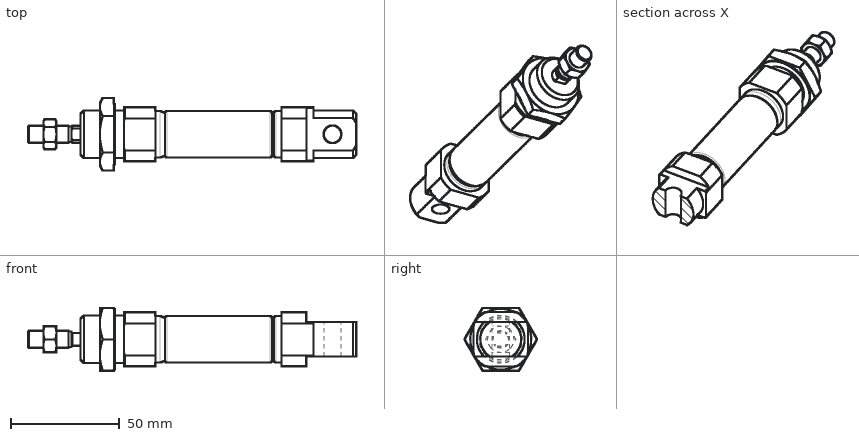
import cadquery as cq
import math


rod_nut_start = 7.0
undercut_start = 18.5
undercut_end = 20.0
collar_start = 24.0
ring_nut_start = 33.0
front_block_start = 44.0
front_block_end = 58.5
front_groove_start = 60.6
front_groove_bottom = 62.9
rear_groove_start = 111.2
rear_block_start = 116.5
rear_block_full_end = 128.0
rear_block_end = 131.3
eye_hole_x = 140.0
overall_length = 151.0

rod_diameter = 8.0
undercut_diameter = 7.2
rod_tip_chamfer = 0.5
neck_chamfer = (rod_diameter - undercut_diameter) / 2
rod_flats_width = 6.0
rod_nut_width = 12.0
rod_nut_thickness = 6.0

collar_diameter = 22.0
collar_chamfer = 1.6
ring_nut_width = 29.0
ring_nut_washer_diameter = 28.0
ring_nut_hex_thickness = 6.5
ring_nut_washer_thickness = 0.5
nut_chamfer_angle = 30.0
hexagon_half_angle = 30.0

block_width = 25.0
block_corner_diameter = 29.0
block_face_diameter = 28.0
barrel_diameter = 21.5
groove_diameter = 20.0
groove_shoulder_radius = 1.0
groove_floor = 0.9

eye_diameter = 22.0
eye_thickness = 16.0
eye_chamfer = 1.6
eye_hole_diameter = 8.0


def cylinder(start, end, diameter):
    """Solid cylinder on the X axis between two stations."""
    return cq.Workplane("YZ", origin=(start, 0, 0)).circle(diameter / 2).extrude(end - start)


def slab(start, end, width_y, width_z):
    """Box centred on the X axis between two stations."""
    return cq.Workplane("YZ", origin=(start, 0, 0)).rect(width_y, width_z).extrude(end - start)


def hexagon(start, thickness, width):
    """Hexagonal prism on the X axis, with flats on top and bottom and corners along Y."""
    corner_diameter = width / math.cos(math.radians(hexagon_half_angle))
    return cq.Workplane("YZ", origin=(start, 0, 0)).polygon(6, corner_diameter).extrude(thickness)


def corner_cone(start, thickness, width, both_ends):
    """Turned envelope that bevels the corners of a hexagonal nut."""
    face_radius = width / 2
    corner_radius = face_radius / math.cos(math.radians(hexagon_half_angle))
    bevel = (corner_radius - face_radius) * math.tan(math.radians(nut_chamfer_angle))
    end = start + thickness
    profile = (
        cq.Workplane("XY")
        .moveTo(start, 0)
        .lineTo(start, face_radius)
        .lineTo(start + bevel, corner_radius)
    )
    if both_ends:
        profile = profile.lineTo(end - bevel, corner_radius).lineTo(end, face_radius)
    else:
        profile = profile.lineTo(end, corner_radius)
    return profile.lineTo(end, 0).close().revolve(360, (0, 0, 0), (1, 0, 0))


def chamfered_nut(start, thickness, width, both_ends):
    """Hexagonal nut with bevelled corners on its front face or on both faces."""
    envelope = corner_cone(start, thickness, width, both_ends)
    return hexagon(start, thickness, width).intersect(envelope)


def end_block(start, end):
    """Square block whose corners are turned to a common diameter."""
    square = slab(start, end, block_width, block_width)
    return square.intersect(cylinder(start, end, block_corner_diameter))


def make_piston_rod():
    """Threaded rod with its nut, an undercut and two wrench flats next to the collar."""
    tip = cylinder(0, undercut_start, rod_diameter).faces("<X").chamfer(rod_tip_chamfer)
    undercut = cylinder(undercut_start, undercut_end, undercut_diameter)
    neck = cylinder(undercut_end, collar_start, rod_diameter).faces("<X").chamfer(neck_chamfer)
    neck = neck.intersect(slab(undercut_end, collar_start, rod_diameter, rod_flats_width))
    nut = chamfered_nut(rod_nut_start, rod_nut_thickness, rod_nut_width, True)
    return tip.union(undercut).union(neck).union(nut)


def make_barrel():
    """Barrel between the blocks, with a rolled groove near each end."""
    barrel_radius = barrel_diameter / 2
    groove_radius = groove_diameter / 2

    floor_rise = groove_radius - (barrel_radius - groove_shoulder_radius)
    shoulder_run = math.sqrt(groove_shoulder_radius**2 - floor_rise**2)

    rear_floor_start = rear_groove_start + shoulder_run
    rear_floor_end = rear_floor_start + groove_floor
    profile = (
        cq.Workplane("XY")
        .moveTo(front_block_end, 0)
        .lineTo(front_block_end, barrel_radius)
        .lineTo(front_groove_start, barrel_radius)
        .spline(
            [(front_groove_bottom, groove_radius)],
            tangents=[(1, 0), (1, 0)],
            includeCurrent=True,
        )
        .radiusArc((front_groove_bottom + shoulder_run, barrel_radius), groove_shoulder_radius)
        .lineTo(rear_groove_start, barrel_radius)
        .radiusArc((rear_floor_start, groove_radius), groove_shoulder_radius)
        .lineTo(rear_floor_end, groove_radius)
        .radiusArc((rear_floor_end + shoulder_run, barrel_radius), groove_shoulder_radius)
        .lineTo(rear_block_start, barrel_radius)
        .lineTo(rear_block_start, 0)
        .close()
    )
    return profile.revolve(360, (0, 0, 0), (1, 0, 0))


def make_ring_nut():
    """Large hexagonal nut on the collar, with a round washer face at its rear."""
    washer_start = ring_nut_start + ring_nut_hex_thickness
    nut = chamfered_nut(ring_nut_start, ring_nut_hex_thickness, ring_nut_width, False)
    washer = cylinder(washer_start, washer_start + ring_nut_washer_thickness, ring_nut_washer_diameter)
    return nut.union(washer)


def make_front_block():
    """Front block with its turned corners chamfered at the face towards the rod."""
    chamfer = (block_corner_diameter - block_face_diameter) / 2
    envelope = cylinder(front_block_start, front_block_end, block_corner_diameter)
    envelope = envelope.faces("<X").chamfer(chamfer)
    return slab(front_block_start, front_block_end, block_width, block_width).intersect(envelope)


def make_rear_end():
    """Rear block and flat mounting eye with a vertical cross hole."""
    block = end_block(rear_block_start, rear_block_full_end)
    ledge = end_block(rear_block_full_end, rear_block_end)
    eye = cylinder(rear_block_full_end, overall_length, eye_diameter).faces(">X").chamfer(eye_chamfer)
    flats = slab(rear_block_full_end, overall_length, block_width, eye_thickness)
    hole = (
        cq.Workplane("XY")
        .center(eye_hole_x, 0)
        .circle(eye_hole_diameter / 2)
        .extrude(eye_thickness, both=True)
    )
    return block.union(ledge.union(eye).intersect(flats)).cut(hole)


def make_housing():
    """Collar, ring nut, front block, barrel and rear end as one solid."""
    collar = cylinder(collar_start, front_block_start, collar_diameter)
    collar = collar.faces("<X").chamfer(collar_chamfer)
    housing = collar.union(make_ring_nut()).union(make_front_block())
    return housing.union(make_barrel()).union(make_rear_end())


piston_rod = make_piston_rod()
housing = make_housing()

result = cq.Compound.makeCompound([piston_rod.val(), housing.val()])